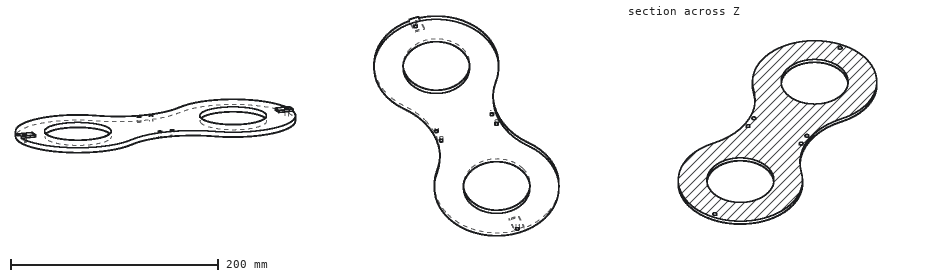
import cadquery as cq

length = 280.0
lobe_diameter = 120.0
window_diameter = 64.0
waist_width = 65.0
plate_thickness = 5.0

total_height = 7.0
pad_width = 9.8
pad_length = 14.8
pad_hole_inset = 5.0

small_hole_diameter = 3.5
waist_hole_spacing_x = 57.0
waist_hole_spacing_y = 12.5

lobe_radius = lobe_diameter / 2
lobe_y = length / 2 - lobe_radius
half_waist = waist_width / 2

waist_radius = (half_waist**2 + lobe_y**2 - lobe_radius**2) / (2 * (lobe_radius - half_waist))
waist_arc_x = half_waist + waist_radius
tangent_fraction = lobe_radius / (lobe_radius + waist_radius)
tangent_x = waist_arc_x * tangent_fraction
tangent_y = lobe_y * (1 - tangent_fraction)


def make_plate():
    return (
        cq.Workplane("XY")
        .moveTo(tangent_x, tangent_y)
        .threePointArc((0, length / 2), (-tangent_x, tangent_y))
        .threePointArc((-half_waist, 0), (-tangent_x, -tangent_y))
        .threePointArc((0, -length / 2), (tangent_x, -tangent_y))
        .threePointArc((half_waist, 0), (tangent_x, tangent_y))
        .close()
        .extrude(plate_thickness)
    )


def make_pads():
    """Pads whose outer ends follow the round edge of the lobes."""
    pad_y = (length - pad_length) / 2
    blocks = (
        cq.Workplane("XY")
        .pushPoints([(0, pad_y), (0, -pad_y)])
        .rect(pad_width, pad_length)
        .extrude(total_height)
    )
    lobes = (
        cq.Workplane("XY")
        .pushPoints([(0, lobe_y), (0, -lobe_y)])
        .circle(lobe_radius)
        .extrude(total_height)
    )
    return blocks.intersect(lobes)


def make_holes(points, diameter):
    return cq.Workplane("XY").pushPoints(points).circle(diameter / 2).extrude(total_height)


window_points = [(0, side * lobe_y) for side in (-1, 1)]
pad_hole_points = [(0, side * (length / 2 - pad_hole_inset)) for side in (-1, 1)]
waist_hole_points = [
    (side_x * waist_hole_spacing_x / 2, side_y * waist_hole_spacing_y / 2)
    for side_x in (-1, 1)
    for side_y in (-1, 1)
]

result = (
    make_plate()
    .union(make_pads())
    .cut(make_holes(window_points, window_diameter))
    .cut(make_holes(pad_hole_points + waist_hole_points, small_hole_diameter))
)